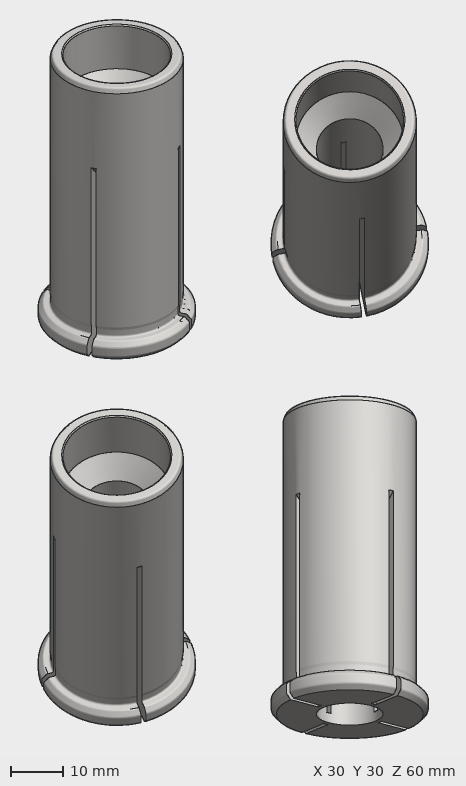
import cadquery as cq
import math

total_height = 60.0
body_radius = 25.4 / 2

flange_radius = 15.0
flange_height = 4.0
flange_chamfer = 1.0
flange_blend_radius = 0.5

groove_depth = 0.1
groove_fillet_radius = 0.4
groove_floor_top = 5.6
groove_top = 6.2

rim_taper_height = 1.0
rim_taper_angle = 22.0
rim_blend_radius = 0.5

upper_bore_radius = 20.5 / 2
lower_bore_radius = 12.7 / 2
cone_top = 50.1
mouth_chamfer = 0.25

slot_count = 4
slot_width = 1.0
slot_top = 41.7

collar_height = 2.0
collar_wall = 1.0

cut_margin = 1.0
edge_tolerance = 0.01


def revolve_profile(points):
    """Turn an outline of (radius, height) points about the Z axis."""
    return cq.Workplane("XZ").polyline(points).close().revolve(360, (0, 0), (0, 1))


def round_edge_at(solid, radius, height, blend):
    """Round the full circular edge of the given radius and height."""
    corner = cq.selectors.BoxSelector(
        (-radius - edge_tolerance, -radius - edge_tolerance, height - edge_tolerance),
        (radius + edge_tolerance, radius + edge_tolerance, height + edge_tolerance),
        boundingbox=True,
    )
    rim = [
        edge
        for edge in solid.edges("%CIRCLE").edges(corner).vals()
        if edge.radius() > radius - edge_tolerance
    ]
    return solid.newObject(rim).fillet(blend)


def make_sleeve():
    """Turned outer shape with its rounded edges."""
    groove_radius = body_radius - groove_depth
    rim_radius = body_radius - rim_taper_height * math.tan(math.radians(rim_taper_angle))
    shoulder = flange_height - flange_chamfer
    face_radius = flange_radius - flange_chamfer
    sleeve = revolve_profile([
        (0, 0),
        (face_radius, 0),
        (flange_radius, flange_chamfer),
        (flange_radius, shoulder),
        (face_radius, flange_height),
        (groove_radius, flange_height),
        (groove_radius, groove_floor_top),
        (body_radius, groove_top),
        (body_radius, total_height - rim_taper_height),
        (rim_radius, total_height),
        (0, total_height),
    ])
    for radius, height, blend in (
        (flange_radius, flange_chamfer, flange_blend_radius),
        (flange_radius, shoulder, flange_blend_radius),
        (face_radius, flange_height, flange_blend_radius),
        (groove_radius, flange_height, groove_fillet_radius),
        (rim_radius, total_height, rim_blend_radius),
    ):
        sleeve = round_edge_at(sleeve, radius, height, blend)
    return sleeve


def make_bore():
    """Solid that cuts the stepped through bore, with a chamfered upper mouth."""
    cone_height = upper_bore_radius - lower_bore_radius
    return revolve_profile([
        (0, 0),
        (lower_bore_radius, 0),
        (lower_bore_radius, cone_top - cone_height),
        (upper_bore_radius, cone_top),
        (upper_bore_radius, total_height - mouth_chamfer),
        (upper_bore_radius + mouth_chamfer, total_height),
        (0, total_height),
    ])


def make_slot():
    """One radial slot towards +X, stopping at the collar around the bore."""
    outer_end = flange_radius + cut_margin
    slot = (
        cq.Workplane("XZ")
        .polyline([
            (0, -cut_margin),
            (outer_end, -cut_margin),
            (outer_end, slot_top + outer_end - body_radius),
            (0, slot_top - body_radius),
        ])
        .close()
        .extrude(slot_width / 2, both=True)
    )
    collar = (
        cq.Workplane("XY", origin=(0, 0, -cut_margin))
        .circle(lower_bore_radius + collar_wall)
        .extrude(collar_height + cut_margin)
    )
    return slot.cut(collar)


result = make_sleeve().cut(make_bore())
slot = make_slot()
for index in range(slot_count):
    result = result.cut(slot.rotate((0, 0, 0), (0, 0, 1), index * 360 / slot_count))